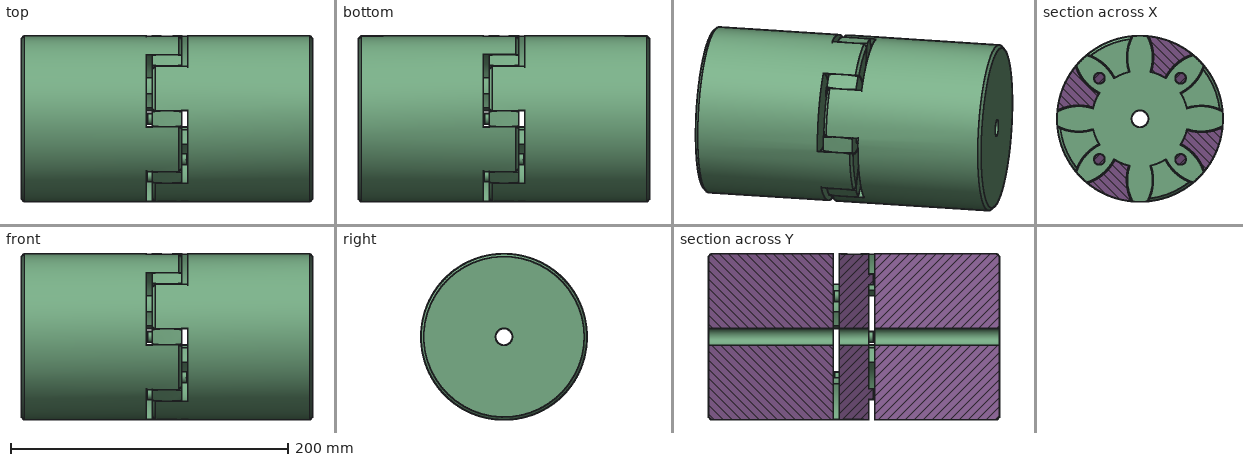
import cadquery as cq
import math


length = 210.0
outer_diameter = 120.0
outer_radius = outer_diameter / 2
bore_diameter = 12.0
edge_chamfer = 2.0

hub_gap = 29.8
spider_width = 21.5
hub_face_x = -hub_gap / 2
jaw_tip_x = spider_width / 2

jaws_per_hub = 4
leg_count = 2 * jaws_per_hub
leg_pitch = 360 / leg_count
jaw_pitch = 360 / jaws_per_hub
jaw_inner_radius = 34.6

outer_gap = 11.8
inner_gap = 16.0
flank_radius = 33.5
flank_crown = 0.6

stud_diameter = 8.0
stud_height = 3.4
stud_circle_radius = 41.4

flank_outer_z = outer_gap / 2
flank_inner_z = inner_gap / 2
flank_outer_y = math.sqrt(outer_radius**2 - flank_outer_z**2)
flank_inner_y = math.sqrt(jaw_inner_radius**2 - flank_inner_z**2)
chord_y = flank_outer_y - flank_inner_y
chord_z = flank_outer_z - flank_inner_z
chord = math.hypot(chord_y, chord_z)
centre_depth = math.sqrt(flank_radius**2 - (chord / 2) ** 2)
flank_centre_y = (flank_outer_y + flank_inner_y) / 2 + centre_depth * chord_z / chord
flank_centre_z = (flank_outer_z + flank_inner_z) / 2 - centre_depth * chord_y / chord


def turned_about_axis(point, degrees):
    """Turn a (y, z) point about the coupling's axis."""
    y, z = point
    angle = math.radians(degrees)
    return (
        y * math.cos(angle) - z * math.sin(angle),
        y * math.sin(angle) + z * math.cos(angle),
    )


def cylinder_along_x(radius, start_x, end_x):
    return cq.Workplane("YZ").workplane(offset=start_x).circle(radius).extrude(end_x - start_x)


def make_jaw():
    """Jaw centred on the +Y direction, with hollow flanks and a plain tip."""
    half_pitch = leg_pitch / 2
    flank_middle = (flank_centre_y, flank_centre_z + flank_radius)
    lower_outer, lower_middle, lower_inner = [
        turned_about_axis(point, -half_pitch)
        for point in (
            (flank_outer_y, flank_outer_z),
            flank_middle,
            (flank_inner_y, flank_inner_z),
        )
    ]
    upper_outer, upper_middle, upper_inner = [
        (y, -z) for y, z in (lower_outer, lower_middle, lower_inner)
    ]
    return (
        cq.Workplane("YZ")
        .workplane(offset=hub_face_x)
        .moveTo(*lower_outer)
        .threePointArc((outer_radius, 0), upper_outer)
        .threePointArc(upper_middle, upper_inner)
        .threePointArc((jaw_inner_radius, 0), lower_inner)
        .threePointArc(lower_middle, lower_outer)
        .close()
        .extrude(jaw_tip_x - hub_face_x)
    )


def make_hub():
    """Hub on the -X side, with its jaws reaching past the middle plane."""
    bar = cylinder_along_x(outer_radius, -length / 2, jaw_tip_x).edges().chamfer(edge_chamfer)
    clearance = cylinder_along_x(outer_radius, hub_face_x, jaw_tip_x)
    jaw = make_jaw()
    for index in range(jaws_per_hub):
        clearance = clearance.cut(jaw.rotate((0, 0, 0), (1, 0, 0), leg_pitch / 2 + index * jaw_pitch))
    bore = cylinder_along_x(bore_diameter / 2, -length / 2, hub_face_x)
    return bar.cut(clearance).cut(bore)


def make_barrel(centre_z):
    """Crowned barrel whose widest circle has the flank radius, on an axis parallel to X."""
    end_x = spider_width / 2
    end_radius = flank_radius - flank_crown
    return (
        cq.Workplane("XY")
        .moveTo(-end_x, 0)
        .lineTo(-end_x, end_radius)
        .threePointArc((0, flank_radius), (end_x, end_radius))
        .lineTo(end_x, 0)
        .close()
        .revolve(360, (0, 0, 0), (1, 0, 0))
        .translate((0, flank_centre_y, centre_z))
    )


def make_leg():
    """Spider leg along +Y: the lens shared by two barrels, flush with the hubs outside."""
    disc = cylinder_along_x(outer_radius, -spider_width / 2, spider_width / 2)
    return make_barrel(flank_centre_z).intersect(make_barrel(-flank_centre_z)).intersect(disc)


def make_stud(side):
    """Stud on a leg along +Y, standing on the -X face (side -1) or the +X face (side 1)."""
    face_x = side * spider_width / 2
    return cylinder_along_x(stud_diameter / 2, face_x, face_x + side * stud_height).translate(
        (0, stud_circle_radius, 0)
    )


def make_spider():
    """Core ring with its legs; the studs stand on alternate sides from leg to leg."""
    spider = cylinder_along_x(jaw_inner_radius, -spider_width / 2, spider_width / 2)
    leg = make_leg()
    for index in range(leg_count):
        side = -1 if index % 2 == 0 else 1
        leg_with_stud = leg.union(make_stud(side))
        spider = spider.union(leg_with_stud.rotate((0, 0, 0), (1, 0, 0), index * leg_pitch))
    return spider.cut(cylinder_along_x(bore_diameter / 2, -spider_width / 2, spider_width / 2))


left_hub = make_hub()
right_hub = make_hub().rotate((0, 0, 0), (0, 1, 0), 180)
spider = make_spider()

result = cq.Compound.makeCompound(
    [left_hub.solids().val(), right_hub.solids().val(), spider.solids().val()]
)